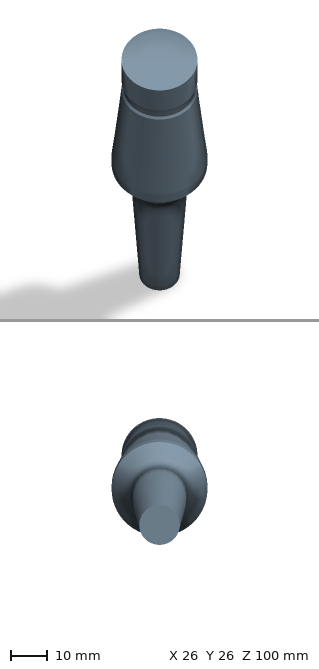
import cadquery as cq

total_length = 100.0
neck_height = 42.8
collar_bottom = 51.5
collar_top = 55.1
body_top = 86.4
groove_bottom = 87.0
groove_top = 89.8
head_bottom = 90.6

tip_radius = 5.5
neck_radius = 7.7
collar_radius = 13.0
head_radius = 10.3
groove_radius = 9.7

neck_fillet = 3.0

profile = [
    (0, 0),
    (tip_radius, 0),
    (neck_radius, neck_height),
    (collar_radius, collar_bottom),
    (collar_radius, collar_top),
    (head_radius, body_top),
    (groove_radius, groove_bottom),
    (groove_radius, groove_top),
    (head_radius, head_bottom),
    (head_radius, total_length),
    (0, total_length),
]

turned_body = (
    cq.Workplane("XZ")
    .polyline(profile)
    .close()
    .revolve(360, (0, 0, 0), (0, 1, 0))
)

neck_edge = cq.selectors.BoxSelector(
    (-collar_radius, -collar_radius, neck_height - neck_fillet),
    (collar_radius, collar_radius, neck_height + neck_fillet),
    boundingbox=True,
)
result = turned_body.edges(neck_edge).fillet(neck_fillet)